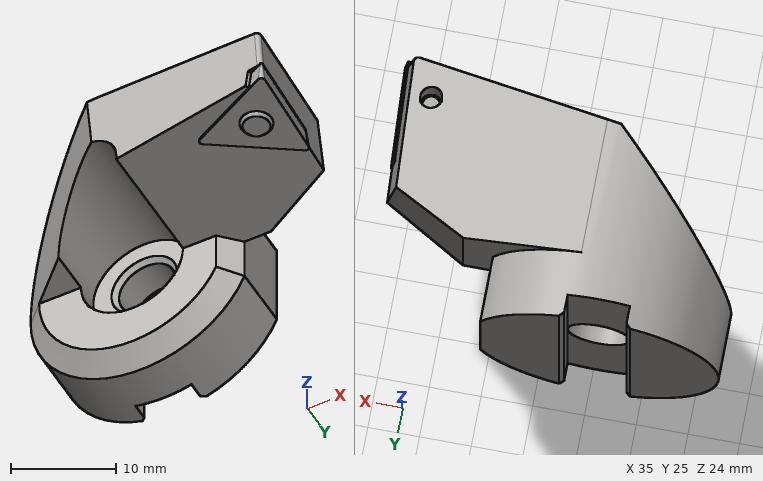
import cadquery as cq
import math


HUB_RADIUS = 12.0
HUB_FRONT = -8.5
HUB_CHAMFER = 2.0
HUB_FLAT_X = 11.05
BORE_RADIUS = 3.0
BORE_CHAMFER = 0.52
COUNTERBORE_RADIUS = 5.5
COUNTERBORE_FLOOR = -6.0
KEY_HALF_WIDTH = 3.0
KEY_DEPTH = 2.17
KEY_CHAMFER = 0.42

ARM_BACK = HUB_FRONT + HUB_CHAMFER
ARM_TOP_SLOPE = 12
ARM_BACK_CORNER_X = 13.92
ARM_BACK_ANGLE = 30
FRONT_ANGLE = 10
FRONT_Y = -20.92
END_ANGLE = 3
END_X = 21.6
RELIEF_ANGLE = 7
CORNER_RADIUS = 0.42
BLANK_X = 28

INSERT_X = 19.55
INSERT_Y = -19.95
INSERT_FACE_Z = -0.2
INSERT_THICKNESS = 2.38
INSERT_INRADIUS = 3.2
INSERT_NOSE_RADIUS = 0.4
INSERT_SIDES = 3
INSERT_TURN = END_ANGLE
RELIEF_START = 3.3

SCREW_RADIUS = 1.05
SCREW_END_CHAMFER = 0.2
SCREW_HEAD_RADIUS = 1.6
SCREW_HEAD_HEIGHT = 0.42
SCREW_HEAD_TAPER = 0.28
SCREW_END_Z = 5.6

REACH = 69.95


def y_cylinder(radius, y_start, y_end):
    """Cylinder on the bore axis between two Y positions."""
    return cq.Workplane("XZ", origin=(0, y_start, 0)).circle(radius).extrude(y_start - y_end)


def relief_normal(heading_angle):
    """Normal of a relieved face: its heading is turned from X, and it tips up by the relief angle."""
    lean = math.radians(RELIEF_ANGLE)
    heading = math.radians(heading_angle)
    return cq.Vector(
        math.cos(heading) * math.cos(lean), math.sin(heading) * math.cos(lean), math.sin(lean)
    )


def outside(point, normal):
    """Everything on the outer side of the flat face through a point."""
    along = cq.Vector(0, 0, 1).cross(normal)
    return cq.Workplane(cq.Plane(point, along, normal)).rect(REACH, REACH).extrude(REACH)


def make_hub():
    disc = y_cylinder(HUB_RADIUS, 0, HUB_FRONT).faces("<Y").chamfer(HUB_CHAMFER)
    plan = (
        cq.Workplane("XY")
        .polyline([
            (-HUB_RADIUS, 0),
            (HUB_FLAT_X, 0),
            (HUB_FLAT_X, ARM_BACK),
            (HUB_FLAT_X - HUB_CHAMFER, HUB_FRONT),
            (-HUB_RADIUS, HUB_FRONT),
        ])
        .close()
        .extrude(REACH, both=True)
    )
    return disc.intersect(plan)


def make_arm():
    slope = math.radians(ARM_TOP_SLOPE)
    tangent_x = HUB_RADIUS * math.sin(slope)
    tangent_z = HUB_RADIUS * math.cos(slope)
    side_outline = (
        cq.Workplane("XZ")
        .moveTo(-HUB_RADIUS, 0)
        .threePointArc((0, HUB_RADIUS), (tangent_x, tangent_z))
        .lineTo(BLANK_X, tangent_z - (BLANK_X - tangent_x) * math.tan(slope))
        .lineTo(BLANK_X, 0)
        .close()
        .extrude(REACH)
    )
    back_drop = (BLANK_X - ARM_BACK_CORNER_X) * math.tan(math.radians(ARM_BACK_ANGLE))
    plan = (
        cq.Workplane("XY")
        .polyline([
            (-HUB_RADIUS, ARM_BACK),
            (ARM_BACK_CORNER_X, ARM_BACK),
            (BLANK_X, ARM_BACK - back_drop),
            (BLANK_X, ARM_BACK - BLANK_X - HUB_RADIUS),
        ])
        .close()
        .extrude(REACH)
    )
    arm = side_outline.intersect(plan)
    front_normal = relief_normal(-90 - FRONT_ANGLE)
    end_normal = relief_normal(END_ANGLE)
    arm = arm.cut(outside((0, FRONT_Y, 0), front_normal))
    arm = arm.cut(outside((END_X, 0, 0), end_normal))
    corner = cq.selectors.ParallelDirSelector(front_normal.cross(end_normal))
    return arm.edges(corner).fillet(CORNER_RADIUS)


def make_key_slot():
    slot = cq.Workplane("XY").polyline([
        (-KEY_HALF_WIDTH - KEY_CHAMFER, 0),
        (-KEY_HALF_WIDTH, -KEY_CHAMFER),
        (-KEY_HALF_WIDTH, -KEY_DEPTH),
        (KEY_HALF_WIDTH, -KEY_DEPTH),
        (KEY_HALF_WIDTH, -KEY_CHAMFER),
        (KEY_HALF_WIDTH + KEY_CHAMFER, 0),
    ]).close()
    return slot.extrude(REACH, both=True)


def make_insert_blank():
    nose_distance = (INSERT_INRADIUS - INSERT_NOSE_RADIUS) / math.cos(math.pi / INSERT_SIDES)
    return (
        cq.Workplane("XY")
        .polygon(INSERT_SIDES, 2 * nose_distance)
        .offset2D(INSERT_NOSE_RADIUS)
        .extrude(INSERT_THICKNESS, taper=RELIEF_ANGLE)
        .rotate((0, 0, 0), (0, 0, 1), INSERT_TURN + 180)
        .translate((INSERT_X, INSERT_Y, INSERT_FACE_Z))
    )


def make_nose_relief():
    """Clears the thin wall in front of the insert, from the relief start out past the nose."""
    edge_heading = math.radians(INSERT_TURN + 180 / INSERT_SIDES - 90)
    edge_frame = cq.Plane(
        (INSERT_X, INSERT_Y, 0), (math.cos(edge_heading), math.sin(edge_heading), 0), (0, 0, 1)
    )
    edge_setback = INSERT_INRADIUS - INSERT_THICKNESS * math.tan(math.radians(RELIEF_ANGLE))
    return (
        cq.Workplane(edge_frame)
        .moveTo(RELIEF_START, -edge_setback)
        .rect(REACH, -REACH, centered=False)
        .extrude(INSERT_FACE_Z + INSERT_THICKNESS)
    )


def make_screw():
    head_z = INSERT_FACE_Z - SCREW_HEAD_HEIGHT
    seat_z = INSERT_FACE_Z + SCREW_HEAD_RADIUS - SCREW_RADIUS
    return (
        cq.Workplane("XZ")
        .polyline([
            (0, head_z),
            (SCREW_HEAD_RADIUS - SCREW_HEAD_TAPER, head_z),
            (SCREW_HEAD_RADIUS, INSERT_FACE_Z),
            (SCREW_RADIUS, seat_z),
            (SCREW_RADIUS, SCREW_END_Z - SCREW_END_CHAMFER),
            (SCREW_RADIUS - SCREW_END_CHAMFER, SCREW_END_Z),
            (0, SCREW_END_Z),
        ])
        .close()
        .revolve(360, (0, 0, 0), (0, 1, 0))
        .translate((INSERT_X, INSERT_Y, 0))
    )


def make_bore():
    """Counterbore from the front, then the chamfered bore through to the back."""
    bore = y_cylinder(BORE_RADIUS, 0, -REACH)
    counterbore = y_cylinder(COUNTERBORE_RADIUS, COUNTERBORE_FLOOR, -REACH)
    chamfer = cq.Solid.makeCone(
        BORE_RADIUS + BORE_CHAMFER,
        BORE_RADIUS,
        BORE_CHAMFER,
        cq.Vector(0, COUNTERBORE_FLOOR, 0),
        cq.Vector(0, 1, 0),
    )
    return bore.union(counterbore).union(cq.Workplane(chamfer))


def make_holder(insert_blank):
    screw_hole = (
        cq.Workplane("XY").center(INSERT_X, INSERT_Y).circle(SCREW_RADIUS).extrude(REACH)
    )
    holder = make_hub().union(make_arm())
    for cutter in (make_key_slot(), make_bore(), insert_blank, make_nose_relief(), screw_hole):
        holder = holder.cut(cutter)
    return holder


insert_blank = make_insert_blank()
holder = make_holder(insert_blank)
screw = make_screw()
insert = insert_blank.cut(screw)

result = cq.Compound.makeCompound([
    holder.solids().val(),
    insert.solids().val(),
    screw.val(),
])